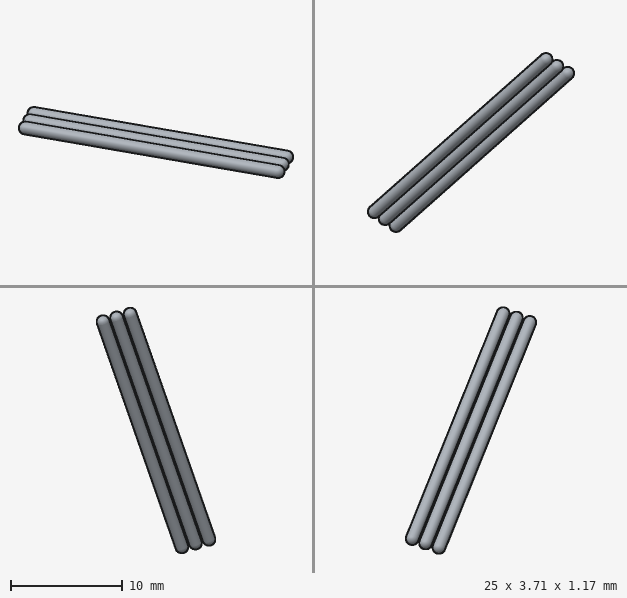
import cadquery as cq

pin_length = 24.98
pin_diameter = 1.17
pin_pitch = 1.27
pin_count = 3

pin_radius = pin_diameter / 2
shoulder_x = pin_length / 2 - pin_radius
dome_offset = pin_radius * 0.5 ** 0.5


def make_pin(center_y):
    """Round pin along X with hemispherical ends."""
    half_profile = (
        cq.Workplane("XY")
        .moveTo(-pin_length / 2, 0)
        .threePointArc((-shoulder_x - dome_offset, dome_offset), (-shoulder_x, pin_radius))
        .lineTo(shoulder_x, pin_radius)
        .threePointArc((shoulder_x + dome_offset, dome_offset), (pin_length / 2, 0))
        .close()
    )
    pin = half_profile.revolve(360, (0, 0, 0), (1, 0, 0))
    return pin.translate((0, center_y, 0))


first_pin_y = -pin_pitch * (pin_count - 1) / 2
pins = [make_pin(first_pin_y + index * pin_pitch) for index in range(pin_count)]

result = cq.Compound.makeCompound([pin.val() for pin in pins])